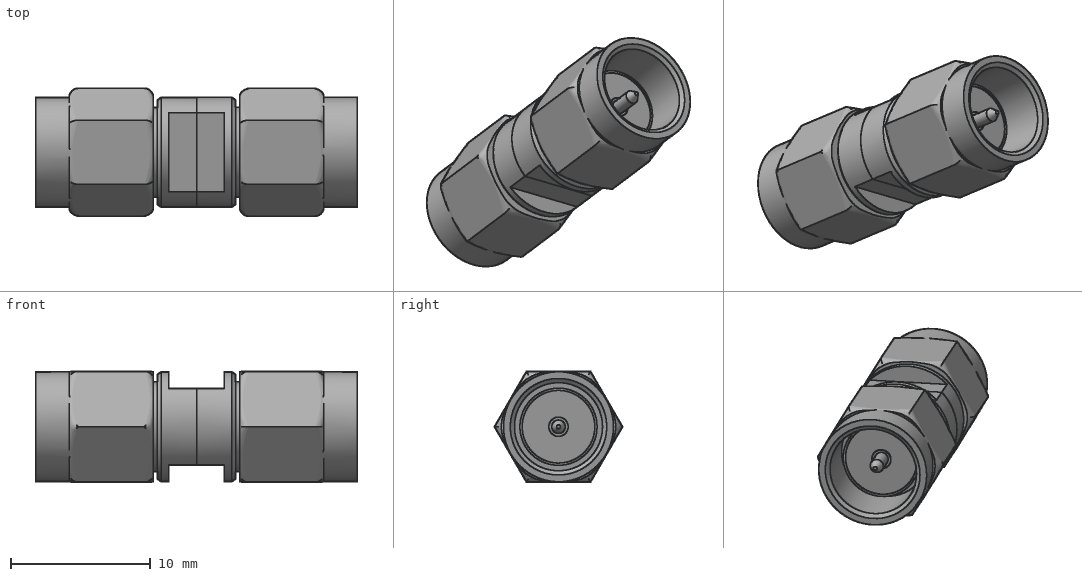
import cadquery as cq
import math


overall_length = 23.0
half_length = overall_length / 2

sleeve_length = 2.4
sleeve_radius = 3.93
hex_length = 6.03
hex_corner_diameter = 9.15
hex_flat_radius = hex_corner_diameter / 2 * math.cos(math.radians(30))
corner_cone_angle = 30.0
corner_cone_overshoot = 0.07
corner_fillet = 0.5
thread_bore_radius = 3.15
thread_bore_depth = 4.6
mouth_radius = 3.45
mouth_chamfer_depth = 0.23

collar_radius = 3.93
collar_length = 2.8
collar_chamfer_length = 0.28
collar_chamfer_drop = 0.2
neck_radius = 3.22
wrench_flat_distance = 5.47
wrench_flat_length = 1.98
plug_radius = 2.75
plug_face_inset = 3.22
plug_rim_width = 0.15
plug_rim_height = 0.05

pin_radius = 0.48
pin_tip_radius = 0.14
pin_tip_inset = 0.97
pin_cone_length = 0.62
pin_recess_radius = 0.7
pin_recess_depth = 0.12

hex_outer_end = half_length - sleeve_length
hex_inner_end = hex_outer_end - hex_length
plug_face = half_length - plug_face_inset
pin_tip = half_length - pin_tip_inset


def cylinder(radius, start, end):
    """Cylinder about the X axis between two X positions."""
    return cq.Workplane("YZ", origin=(start, 0, 0)).circle(radius).extrude(end - start)


def turned(profile):
    """Solid turned about the X axis from a closed profile of (x, radius) points."""
    return cq.Workplane("XY").polyline(profile).close().revolve(360, (0, 0, 0), (1, 0, 0))


def rounded_hexagon():
    """Hexagon whose corners are cut by a cone at each end, with the cone edges rounded over."""
    slope = math.tan(math.radians(corner_cone_angle))
    apex_reach = slope * hex_flat_radius + corner_cone_overshoot
    inner_apex = hex_inner_end - apex_reach
    outer_apex = hex_outer_end + apex_reach
    rim_radius = hex_corner_diameter
    double_cone = turned([
        (inner_apex, 0),
        (inner_apex + slope * rim_radius, rim_radius),
        (outer_apex - slope * rim_radius, rim_radius),
        (outer_apex, 0),
    ])
    bar = (
        cq.Workplane("YZ", origin=(inner_apex, 0, 0))
        .polygon(6, hex_corner_diameter)
        .extrude(outer_apex - inner_apex)
    )
    pointed = bar.intersect(double_cone)
    rounded = pointed.edges("not %LINE").fillet(corner_fillet)
    return rounded.intersect(cylinder(hex_corner_diameter, hex_inner_end, hex_outer_end))


def make_nut():
    """Coupling nut, open at the mouth and closed around the plug at its inner end."""
    outside = rounded_hexagon().union(cylinder(sleeve_radius, hex_inner_end, half_length))
    plug_hole = cylinder(plug_radius, hex_inner_end, half_length)
    thread_bore = cylinder(thread_bore_radius, half_length - thread_bore_depth, half_length)
    mouth_chamfer = turned([
        (half_length - mouth_chamfer_depth, 0),
        (half_length - mouth_chamfer_depth, thread_bore_radius),
        (half_length, mouth_radius),
        (half_length, 0),
    ])
    return outside.cut(plug_hole).cut(thread_bore).cut(mouth_chamfer)


def make_collar():
    """Collar from the middle plane outward, with a wrench flat above and below."""
    collar = turned([
        (0, 0),
        (0, collar_radius),
        (collar_length - collar_chamfer_length, collar_radius),
        (collar_length, collar_radius - collar_chamfer_drop),
        (collar_length, 0),
    ])
    cut_width = 2 * collar_radius
    cut_height = collar_radius
    for side in (-1, 1):
        cut_center = side * (wrench_flat_distance + cut_height) / 2
        flat_cut = (
            cq.Workplane("XY")
            .box(wrench_flat_length, cut_width, cut_height)
            .translate((wrench_flat_length / 2, 0, cut_center))
        )
        collar = collar.cut(flat_cut)
    return collar


def make_plug():
    """Plug with a low rim around its face and a recess around the pin."""
    plug = cylinder(plug_radius, collar_length, plug_face)
    floor = plug_face - plug_rim_height
    inside_rim = cylinder(plug_radius - plug_rim_width, floor, plug_face)
    pin_recess = cylinder(pin_recess_radius, floor - pin_recess_depth, plug_face)
    return plug.cut(inside_rim).cut(pin_recess)


def make_pin():
    """Centre pin with a blunt cone at its tip."""
    return turned([
        (collar_length, 0),
        (collar_length, pin_radius),
        (pin_tip - pin_cone_length, pin_radius),
        (pin_tip, pin_tip_radius),
        (pin_tip, 0),
    ])


def make_adapter_half():
    """Collar, neck, plug and pin in one piece; the neck ends against the nut."""
    neck = cylinder(neck_radius, collar_length, hex_inner_end)
    return make_collar().union(neck).union(make_plug()).union(make_pin())


nuts = []
adapter_halves = []
for turn in (0, 180):
    nuts.append(make_nut().rotate((0, 0, 0), (0, 0, 1), turn))
    adapter_halves.append(make_adapter_half().rotate((0, 0, 0), (0, 0, 1), turn))

result = cq.Compound.makeCompound([body.solids().val() for body in nuts + adapter_halves])